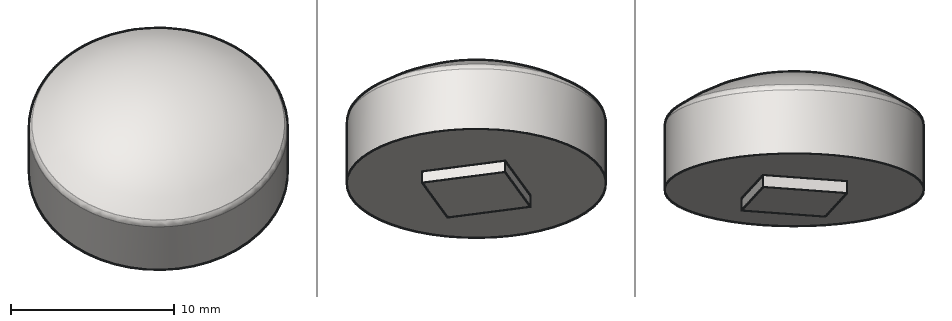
import cadquery as cq

import math

cap_diameter = 15.88
total_height = 7.8
foot_width = 5.3
foot_height = 0.76
dome_radius = 12.95
rim_fillet_radius = 0.51

cap_radius = cap_diameter / 2
cap_height = total_height - foot_height
dome_center_z = cap_height - dome_radius
sharp_rim_z = dome_center_z + math.sqrt(dome_radius**2 - cap_radius**2)


def make_cap():
    """Round cap with a spherical top and a rounded rim."""
    half_profile = (
        cq.Workplane("XZ")
        .lineTo(cap_radius, 0)
        .lineTo(cap_radius, sharp_rim_z)
        .radiusArc((0, cap_height), -dome_radius)
        .close()
    )
    sharp_cap = half_profile.revolve(360, (0, 0), (0, 1))
    return sharp_cap.edges("%CIRCLE and (not <Z)").fillet(rim_fillet_radius)


def make_foot():
    """Square foot centred under the cap."""
    return cq.Workplane("XY").rect(foot_width, foot_width).extrude(-foot_height)


result = make_cap().union(make_foot())